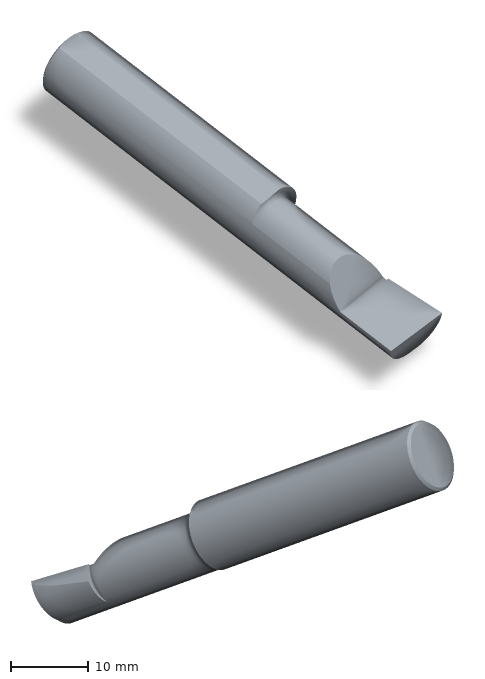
import cadquery as cq
import math

total_length = 63.5

shank_radius = 4.75
shank_length = 36.75
shank_flat_height = 4.45
end_chamfer_length = 0.3
end_chamfer_depth = 0.4

neck_radius = 4.05
neck_center_y = -0.9
neck_fillet = 0.6

rake_face_z = 0.0
rake_face_start = 54.0
slope_angle = 45.0

head_start = 54.6
head_start_y = 3.5
tip_y = 4.3
end_side_setback = 0.4
end_relief_angle = 6.0


def cylinder_x(radius, start, end, center_y=0.0):
    return (
        cq.Workplane("YZ", origin=(start, center_y, 0))
        .circle(radius)
        .extrude(end - start)
    )


def make_shank():
    shank = (
        cq.Workplane("XY")
        .lineTo(0, shank_radius - end_chamfer_depth)
        .lineTo(end_chamfer_length, shank_radius)
        .lineTo(shank_length, shank_radius)
        .lineTo(shank_length, 0)
        .close()
        .revolve(360, (0, 0, 0), (1, 0, 0))
    )
    above_flat = cq.Workplane("XY", origin=(0, 0, shank_flat_height)).rect(
        2 * shank_length, 2 * shank_radius
    ).extrude(shank_radius)
    return shank.cut(above_flat)


def make_neck():
    """Eccentric neck with a concave fillet against the shank's end face."""
    fillet_end = shank_length + neck_fillet
    fillet_top = neck_radius + neck_fillet
    arc_offset = neck_fillet * (1 - math.sqrt(0.5))
    neck = (
        cq.Workplane("XY", origin=(0, neck_center_y, 0))
        .moveTo(shank_length, 0)
        .lineTo(shank_length, fillet_top)
        .threePointArc(
            (shank_length + arc_offset, neck_radius + arc_offset),
            (fillet_end, neck_radius),
        )
        .lineTo(total_length, neck_radius)
        .lineTo(total_length, 0)
        .close()
        .revolve(360, (0, 0, 0), (1, 0, 0))
    )
    below_flat = cq.Workplane("XY", origin=(0, 0, -shank_radius)).rect(
        2 * total_length, 2 * shank_radius
    ).extrude(shank_radius + shank_flat_height)
    shank_envelope = cylinder_x(shank_radius, shank_length, total_length)
    return neck.intersect(shank_envelope).intersect(below_flat)


def make_head():
    """Tapered overhang, rounded underneath with the neck radius."""
    outline = (
        cq.Workplane("XY", origin=(0, 0, rake_face_z))
        .moveTo(head_start, neck_center_y)
        .lineTo(head_start, head_start_y)
        .lineTo(total_length, tip_y)
        .lineTo(total_length, neck_center_y)
        .close()
        .extrude(-shank_radius)
    )
    underside = cylinder_x(neck_radius, head_start, total_length, tip_y - neck_radius)
    return outline.intersect(underside)


def make_rake_cut():
    """Space above the sloped face and the flat rake face."""
    rise = shank_radius - rake_face_z
    slope_run = rise / math.tan(math.radians(slope_angle))
    return (
        cq.Workplane("XZ", origin=(0, shank_radius, 0))
        .moveTo(rake_face_start, rake_face_z)
        .lineTo(total_length, rake_face_z)
        .lineTo(total_length, shank_radius)
        .lineTo(rake_face_start - slope_run, shank_radius)
        .close()
        .extrude(2 * shank_radius)
    )


def make_end_cut():
    """Half space beyond the end face, which leans back in both Y and Z."""
    side_slope = end_side_setback / (tip_y + shank_radius)
    relief_slope = math.tan(math.radians(end_relief_angle))
    end_plane = cq.Plane(
        origin=(total_length, tip_y, rake_face_z),
        xDir=(side_slope, 1, 0),
        normal=(1, -side_slope, -relief_slope),
    )
    cut_size = 6 * shank_radius
    return cq.Workplane(end_plane).rect(cut_size, cut_size).extrude(shank_radius)


blank = make_shank().union(make_neck()).cut(make_rake_cut())
result = blank.union(make_head()).cut(make_end_cut())